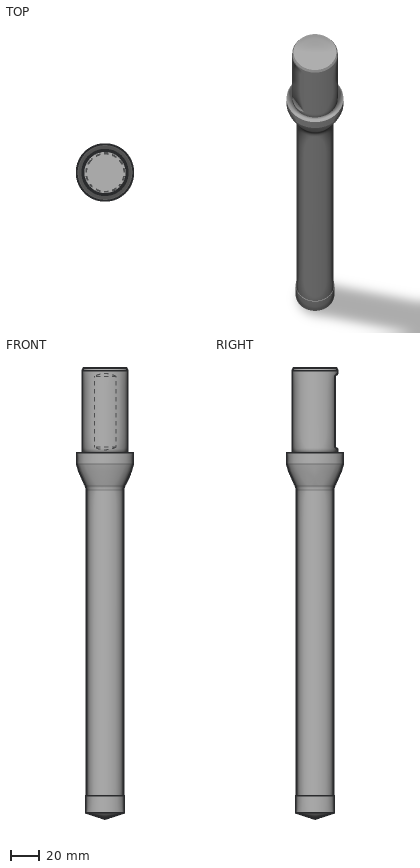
import cadquery as cq

total_length = 318.0

head_diameter = 27.5
head_length = 16.5
point_height = 4.5

stem_diameter = 26.5
stem_fillet_height = 3.0
stem_fillet_flare = 0.5
neck_height = 235.0
collar_diameter = 40.0
collar_length = 7.5
flare_mid_drop = 5.5
flare_mid_inset = 1.5

shank_diameter = 32.0
shank_length = 59.8
shank_chamfer_inset = 1.0
shank_chamfer_height = 2.0

flat_depth = 2.0
flat_top_gap = 3.8
flat_bottom_gap = 2.2

head_radius = head_diameter / 2
stem_radius = stem_diameter / 2
collar_radius = collar_diameter / 2
shank_radius = shank_diameter / 2
collar_top = total_length - shank_length
collar_bottom = collar_top - collar_length


def make_head():
    """Short cylinder with a conical drill point."""
    return (
        cq.Workplane("XZ")
        .moveTo(0, 0)
        .lineTo(head_radius, point_height)
        .lineTo(head_radius, head_length)
        .lineTo(0, head_length)
        .close()
        .revolve(360, (0, 0, 0), (0, 1, 0))
    )


def make_turned_holder():
    """Stem, flared collar and chamfered shank as one revolved profile."""
    neck_radius = stem_radius + stem_fillet_flare
    flare_mid_radius = collar_radius - flare_mid_inset
    return (
        cq.Workplane("XZ")
        .moveTo(0, head_length)
        .lineTo(stem_radius, head_length)
        .lineTo(stem_radius, neck_height - stem_fillet_height)
        .tangentArcPoint((neck_radius, neck_height), relative=False)
        .threePointArc(
            (flare_mid_radius, collar_bottom - flare_mid_drop),
            (collar_radius, collar_bottom),
        )
        .lineTo(collar_radius, collar_top)
        .lineTo(shank_radius, collar_top)
        .lineTo(shank_radius, total_length - shank_chamfer_height)
        .lineTo(shank_radius - shank_chamfer_inset, total_length)
        .lineTo(0, total_length)
        .close()
        .revolve(360, (0, 0, 0), (0, 1, 0))
    )


def make_flat_cutter():
    """Trapezoidal bar that leaves a flat with 45 degree end ramps."""
    flat_y = shank_radius - flat_depth
    flat_top = total_length - flat_top_gap
    flat_bottom = collar_top + flat_bottom_gap
    return (
        cq.Workplane("YZ")
        .moveTo(shank_radius, flat_bottom)
        .lineTo(flat_y, flat_bottom + flat_depth)
        .lineTo(flat_y, flat_top - flat_depth)
        .lineTo(shank_radius, flat_top)
        .close()
        .extrude(shank_radius, both=True)
    )


head = make_head()
holder = make_turned_holder().cut(make_flat_cutter())

result = cq.Compound.makeCompound([holder.val(), head.val()])